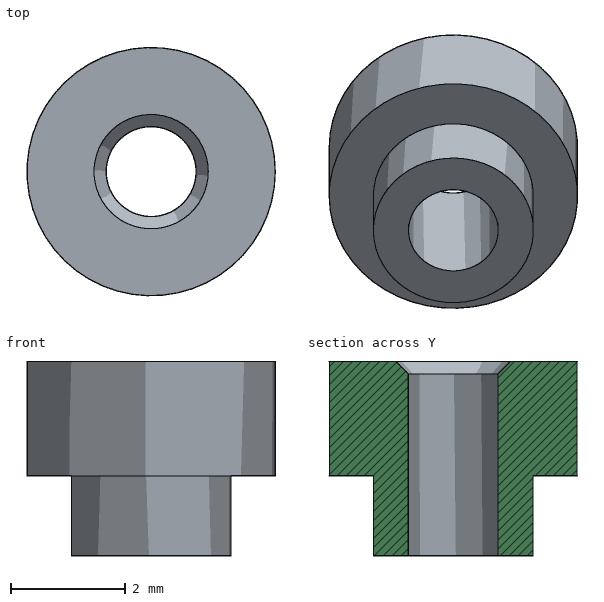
import cadquery as cq

head_diameter = 4.35
head_height = 2.0
shank_diameter = 2.8
total_height = 3.4
bore_diameter = 1.57
countersink_diameter = 2.0

shank_height = total_height - head_height
countersink_depth = (countersink_diameter - bore_diameter) / 2

shank = cq.Workplane("XY").circle(shank_diameter / 2).extrude(shank_height)
body = shank.faces(">Z").workplane().circle(head_diameter / 2).extrude(head_height)

bored_body = body.faces(">Z").workplane().circle(bore_diameter / 2).cutThruAll()

result = bored_body.faces(">Z").edges("%CIRCLE").edges(
    cq.selectors.RadiusNthSelector(0)
).chamfer(countersink_depth)